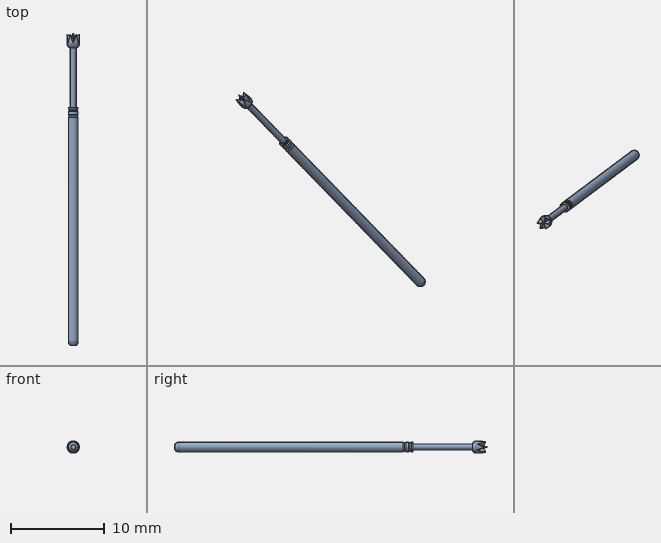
import cadquery as cq
import math


total_length = 33.3
crown_end = total_length / 2
tail_end = -total_length / 2

barrel_radius = 0.53
plunger_reach = 7.9
barrel_front = crown_end - plunger_reach
tail_flat_radius = 0.25
tail_length = 0.45

crimp_offsets = (0.3, 0.9)
crimp_width = 0.3
crimp_depth = 0.12

plunger_radius = 0.33

head_radius = 0.65
head_length = 1.15
head_shoulder = crown_end - head_length
shoulder_radius = 0.4

tooth_count = 6
tooth_tip_drop = 0.14
hub_drop = 0.4
notch_rim_drop = 1.03
spike_base_radius = 0.12
spike_tip_radius = 0.04
spike_root = 0.1
notch_overrun = 0.2


def revolve_about_y(profile):
    """Close a half profile and turn it fully about the Y axis."""
    return profile.close().revolve(360, (0, 0, 0), (0, 1, 0))


def make_crimp_groove(centre):
    """Ring-shaped V cutter centred at the given Y."""
    floor_radius = barrel_radius - crimp_depth
    clear_radius = barrel_radius + crimp_depth
    half_width = crimp_width / 2
    profile = (
        cq.Workplane("XY")
        .moveTo(floor_radius, centre)
        .lineTo(barrel_radius, centre - half_width)
        .lineTo(clear_radius, centre - half_width)
        .lineTo(clear_radius, centre + half_width)
        .lineTo(barrel_radius, centre + half_width)
    )
    return revolve_about_y(profile)


def make_barrel():
    """Closed barrel with a domed tail that blends smoothly into its side."""
    profile = (
        cq.Workplane("XY")
        .moveTo(0, barrel_front)
        .lineTo(barrel_radius, barrel_front)
        .lineTo(barrel_radius, tail_end + tail_length)
        .tangentArcPoint((tail_flat_radius, tail_end), relative=False)
        .lineTo(0, tail_end)
    )
    barrel = revolve_about_y(profile)
    for offset in crimp_offsets:
        barrel = barrel.cut(make_crimp_groove(barrel_front - offset))
    return barrel


def make_plunger():
    """Plunger rod widening through a rounded shoulder to the plain cylindrical head."""
    arc_centre_radius = head_radius - shoulder_radius
    shoulder_length = math.sqrt(shoulder_radius**2 - (plunger_radius - arc_centre_radius) ** 2)
    tooth_top = crown_end - tooth_tip_drop
    profile = (
        cq.Workplane("XY")
        .moveTo(0, barrel_front)
        .lineTo(0, tooth_top)
        .lineTo(head_radius, tooth_top)
        .lineTo(head_radius, head_shoulder)
        .tangentArcPoint((plunger_radius, head_shoulder - shoulder_length), relative=False)
        .lineTo(plunger_radius, barrel_front)
    )
    return revolve_about_y(profile)


def make_notch():
    """V cutter running from the axis out along +Z, its floor falling towards the rim."""
    floor_slope = (notch_rim_drop - hub_drop) / head_radius
    half_pitch = math.pi / tooth_count
    tip_floor_drop = hub_drop + floor_slope * head_radius * math.cos(half_pitch)
    wall_slope = head_radius * math.sin(half_pitch) / (tip_floor_drop - tooth_tip_drop)
    reach = head_radius + notch_overrun

    def section(floor_drop):
        half_width = floor_drop * wall_slope
        return [(-half_width, crown_end), (half_width, crown_end), (0, crown_end - floor_drop)]

    return (
        cq.Workplane("XY")
        .polyline(section(hub_drop))
        .close()
        .workplane(offset=reach)
        .polyline(section(hub_drop + floor_slope * reach))
        .close()
        .loft(ruled=True)
    )


def make_spike():
    """Tapered centre spike standing on the hub of the crown."""
    base = crown_end - hub_drop
    profile = (
        cq.Workplane("XY")
        .moveTo(0, base - spike_root)
        .lineTo(spike_base_radius, base - spike_root)
        .lineTo(spike_base_radius, base)
        .lineTo(spike_tip_radius, crown_end)
        .lineTo(0, crown_end)
    )
    return revolve_about_y(profile)


plunger = make_plunger()
notch = make_notch()
for index in range(tooth_count):
    angle = index * 360 / tooth_count
    plunger = plunger.cut(notch.rotate((0, 0, 0), (0, 1, 0), angle))

result = make_barrel().union(plunger).union(make_spike())